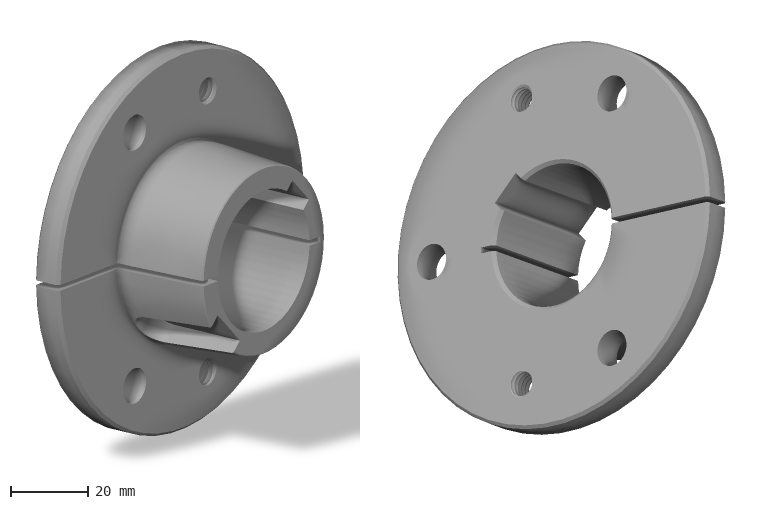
import cadquery as cq
import math

flange_diameter = 103.2
flange_thickness = 8.0
rim_chamfer = 0.8

part_length = 35.0
hub_diameter = 53.9
hub_end_diameter = 50.8
taper_start = 12.2
root_fillet = 0.5
hub_end_chamfer = 0.3

bore_diameter = 38.2
bore_chamfer = 0.9
keyway_width = 9.7
keyway_floor_radius = 21.8
keyway_angle = 45.0

slit_width = 1.5
slit_end_radius = 23.4

pocket_width = 13.0
pocket_start = 9.1
pocket_floor_radius = 20.6
pocket_corner_radius = 5.0
pocket_angle = keyway_angle + 180.0

hole_circle_radius = 39.7
hole_overrun = 2.1
bolt_hole_diameter = 9.6
bolt_hole_angles = (0.0, 120.0, 240.0)

thread_hole_angle = 75.0
thread_minor_diameter = 6.6
thread_major_diameter = 8.3
thread_pitch = 1.4
thread_groove_width = 1.1
thread_start_angle = 125.0
thread_overlap = 0.1


def turned_body():
    flange_radius = flange_diameter / 2
    hub_radius = hub_diameter / 2
    hub_end_radius = hub_end_diameter / 2
    bore_radius = bore_diameter / 2
    root_x = flange_thickness + root_fillet
    root_center_radius = hub_radius + root_fillet
    root_middle = root_fillet * math.sqrt(0.5)
    profile = (
        cq.Workplane("XZ")
        .moveTo(0, bore_radius + bore_chamfer)
        .lineTo(0, flange_radius - rim_chamfer)
        .lineTo(rim_chamfer, flange_radius)
        .lineTo(flange_thickness - rim_chamfer, flange_radius)
        .lineTo(flange_thickness, flange_radius - rim_chamfer)
        .lineTo(flange_thickness, root_center_radius)
        .threePointArc((root_x - root_middle, root_center_radius - root_middle), (root_x, hub_radius))
        .lineTo(taper_start, hub_radius)
        .lineTo(part_length - hub_end_chamfer, hub_end_radius)
        .lineTo(part_length, hub_end_radius - hub_end_chamfer)
        .lineTo(part_length, bore_radius)
        .lineTo(bore_chamfer, bore_radius)
        .close()
    )
    return profile.revolve(360, (0, 0, 0), (1, 0, 0))


def keyway():
    cutter = (
        cq.Workplane("XY")
        .box(part_length, keyway_floor_radius, keyway_width, centered=(False, False, True))
    )
    return cutter.rotate((0, 0, 0), (1, 0, 0), keyway_angle)


def slit():
    flange_radius = flange_diameter / 2
    slit_length = flange_radius + slit_end_radius
    return (
        cq.Workplane("XY")
        .box(part_length, slit_length, slit_width, centered=(False, False, True))
        .translate((0, -flange_radius, 0))
    )


def pocket():
    cutter = (
        cq.Workplane("XY")
        .box(part_length, hub_diameter / 2, pocket_width, centered=(False, False, True))
        .edges("<X and |Y")
        .fillet(pocket_corner_radius)
        .translate((pocket_start, pocket_floor_radius, 0))
    )
    return cutter.rotate((0, 0, 0), (1, 0, 0), pocket_angle)


def flange_hole(diameter, angle):
    """Cylinder on the hole circle, running past both flange faces."""
    return (
        cq.Workplane("YZ", origin=(-hole_overrun, 0, 0))
        .center(hole_circle_radius, 0)
        .circle(diameter / 2)
        .extrude(flange_thickness + 2 * hole_overrun)
        .rotate((0, 0, 0), (1, 0, 0), angle)
    )


def thread_groove():
    """V-shaped helical groove about the X axis, running one pitch past both flange faces."""
    minor_radius = thread_minor_diameter / 2
    root_radius = thread_major_diameter / 2
    crest_radius = minor_radius - thread_overlap
    groove_depth = root_radius - minor_radius
    crest_half_width = thread_groove_width / 2 * (root_radius - crest_radius) / groove_depth
    helix = cq.Wire.makeHelix(thread_pitch, flange_thickness + 2 * thread_pitch, minor_radius)
    groove = (
        cq.Workplane("XZ")
        .moveTo(crest_radius, -crest_half_width)
        .lineTo(root_radius, 0)
        .lineTo(crest_radius, crest_half_width)
        .close()
        .sweep(cq.Workplane(obj=helix), isFrenet=True)
        .translate((0, 0, -thread_pitch))
    )
    along_x = groove.rotate((0, 0, 0), (0, 1, 0), 90)
    return along_x.rotate((0, 0, 0), (1, 0, 0), thread_start_angle + 90)


def threaded_hole():
    angle = math.radians(thread_hole_angle)
    center = (0, hole_circle_radius * math.cos(angle), hole_circle_radius * math.sin(angle))
    return flange_hole(thread_minor_diameter, thread_hole_angle).union(thread_groove().translate(center))


result = turned_body().cut(keyway()).cut(slit()).cut(pocket())
for angle in bolt_hole_angles:
    result = result.cut(flange_hole(bolt_hole_diameter, angle))
jacking_hole = threaded_hole()
result = result.cut(jacking_hole).cut(jacking_hole.mirror("XY"))